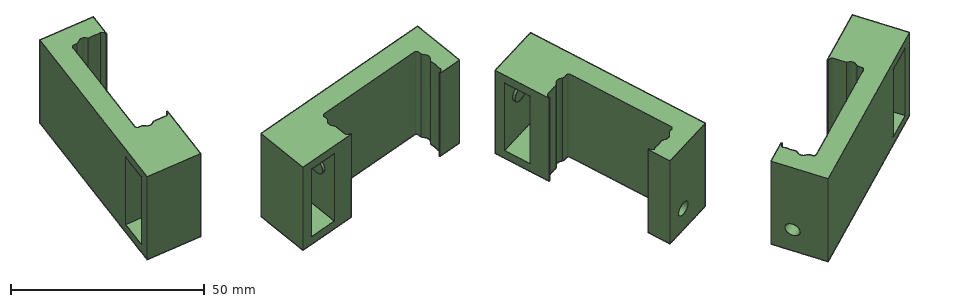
import cadquery as cq

LENGTH = 55.0
DEPTH = 16.0
HEIGHT = 32.0

CAVITY_FLOOR_Y = 6.05
LIP_THICKNESS = 0.35
LEFT_LIP_X = 6.95
RIGHT_LIP_X = 38.0
LEFT_WALL_X = 5.65
RIGHT_WALL_X = 39.15
LEFT_FOOT_X = 5.95
RIGHT_FOOT_X = 39.0
CORNER_SIZE = 0.7
GROOVE_Y = 9.6
GROOVE_DEPTH = 0.7
GROOVE_HALF_ARC = 0.8
GROOVE_SHOULDER = 0.2
GROOVE_HALF_MOUTH = 1.45
FOOT_TOP_Y = 7.65
LIP_HOLLOW_Y = 14.85
LIP_ARC_LEFT = (6.05, 15.45)
LIP_ARC_RIGHT = (38.8, 15.45)
RIPPLE_DEPTH = 0.1
RIPPLE_TOP_Y = 13.7
RIPPLE_PITCH = 0.9

WINDOW_MARGIN = 3.0
WINDOW_WIDTH = 8.0

BOSS_DIAMETER = 5.0
BOSS_LENGTH = 0.8
BOSS_Z = 20.15

HOLE_DIAMETER = 4.3
HOLE_LENGTH = 4.4
HOLE_Z = 8.15

PIN_Y = 9.95


def make_cavity():
    """Cavity with undercut lips, a gripping groove in each side and a flat floor."""
    lip_y = DEPTH - LIP_THICKNESS
    groove_low = GROOVE_Y - GROOVE_HALF_ARC
    groove_high = GROOVE_Y + GROOVE_HALF_ARC
    mouth_low = GROOVE_Y - GROOVE_HALF_MOUTH
    mouth_high = GROOVE_Y + GROOVE_HALF_MOUTH
    left_groove_x = LEFT_WALL_X - GROOVE_DEPTH
    right_groove_x = RIGHT_WALL_X + GROOVE_DEPTH
    foot_y = CAVITY_FLOOR_Y + CORNER_SIZE
    ripples = [
        (LEFT_WALL_X + RIPPLE_DEPTH, RIPPLE_TOP_Y),
        (LEFT_WALL_X, RIPPLE_TOP_Y - RIPPLE_PITCH),
        (LEFT_WALL_X + RIPPLE_DEPTH, RIPPLE_TOP_Y - 2 * RIPPLE_PITCH),
        (LEFT_WALL_X, mouth_high),
    ]
    profile = (
        cq.Workplane("XY")
        .moveTo(LEFT_LIP_X, DEPTH)
        .lineTo(LEFT_LIP_X, lip_y)
        .threePointArc(LIP_ARC_LEFT, (LEFT_WALL_X, LIP_HOLLOW_Y))
        .spline(ripples, includeCurrent=True)
        .lineTo(left_groove_x + GROOVE_SHOULDER, groove_high)
        .threePointArc((left_groove_x, GROOVE_Y), (left_groove_x + GROOVE_SHOULDER, groove_low))
        .lineTo(LEFT_WALL_X, mouth_low)
        .lineTo(LEFT_FOOT_X, FOOT_TOP_Y)
        .lineTo(LEFT_FOOT_X, foot_y)
        .radiusArc((LEFT_FOOT_X + CORNER_SIZE, CAVITY_FLOOR_Y), -CORNER_SIZE)
        .lineTo(RIGHT_FOOT_X - CORNER_SIZE, CAVITY_FLOOR_Y)
        .radiusArc((RIGHT_FOOT_X, foot_y), -CORNER_SIZE)
        .lineTo(RIGHT_FOOT_X, FOOT_TOP_Y)
        .lineTo(RIGHT_WALL_X, mouth_low)
        .lineTo(right_groove_x - GROOVE_SHOULDER, groove_low)
        .threePointArc((right_groove_x, GROOVE_Y), (right_groove_x - GROOVE_SHOULDER, groove_high))
        .lineTo(RIGHT_WALL_X, mouth_high)
        .lineTo(RIGHT_WALL_X, LIP_HOLLOW_Y)
        .threePointArc(LIP_ARC_RIGHT, (RIGHT_LIP_X, lip_y))
        .lineTo(RIGHT_LIP_X, DEPTH)
        .close()
    )
    return profile.extrude(HEIGHT)


def make_rod(diameter, start_x, length, z):
    """Cylinder along X at the common pin depth."""
    return cq.Workplane("YZ", origin=(start_x, PIN_Y, z)).circle(diameter / 2).extrude(length)


block = cq.Workplane("XY").box(LENGTH, DEPTH, HEIGHT, centered=False)

window_right = LENGTH - WINDOW_MARGIN
window_left = window_right - WINDOW_WIDTH
window = cq.Workplane("XY", origin=(window_left, 0, WINDOW_MARGIN)).box(
    WINDOW_WIDTH, DEPTH, HEIGHT - 2 * WINDOW_MARGIN, centered=False
)

result = block.cut(make_cavity()).cut(window)
result = result.cut(make_rod(HOLE_DIAMETER, 0, HOLE_LENGTH, HOLE_Z))

for boss_start in (window_left, window_right - BOSS_LENGTH):
    result = result.union(make_rod(BOSS_DIAMETER, boss_start, BOSS_LENGTH, BOSS_Z))